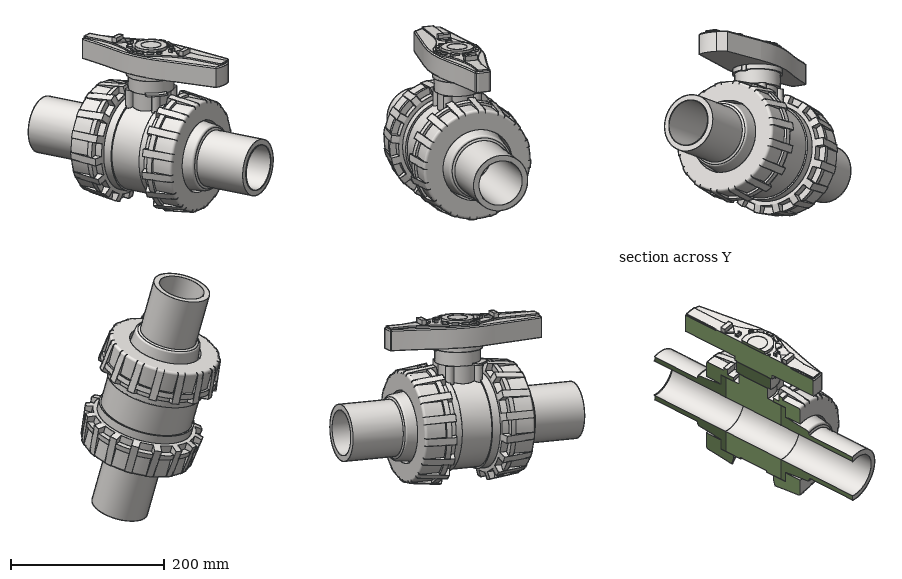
import cadquery as cq
import math

BORE_R = 60.0 / 2

HOUSING_R = 122.8 / 2
COLLAR_R = 127.5 / 2
COLLAR_INNER_X = 21.5
HOUSING_END_X = 46.5
NECK_R = 25.8
NECK_TOP = 80.5
POST_R = 5.5
POST_OFFSET = 20.2

PIPE_R = 75.0 / 2
LEFT_LENGTH = 165.5
RIGHT_LENGTH = 164.5
LIP_R = 60.5 / 2
LIP_LENGTH = 1.0
FLANGE_THICK = 7.5
TAIL_X = 89.7
TAIL_TIP_R = 43.7
TAIL_ROUND = 3.0
TAIL_BEVEL = 1.3

NUT_BORE_R = 96.0 / 2
NUT_OUTER_X = 78.0
NUT_INNER_X = 32.8
NUT_FACE_R = 70.5
NUT_ROUND = 4.0
NUT_ROUND_MID = 1.0
NUT_FLOOR_R = 73.8
BAND_R = (78.0, 77.0)
BAND_X = (42.5, 49.3)
RING_R = 69.2
RIB_COUNT = 16
RIB_WIDTH = 10.0
RIB_LOW_R = 74.8
RIB_HIGH_R = 79.5
RIB_SLANT = 3.0
LEFT_RIB_ANGLE = 17.7
RIGHT_RIB_ANGLE = 14.0

BUSHING_R = 60.0 / 2
BUSHING_TOP = 99.3
STOP_R = 38.0
STOP_SPAN = 45.0
STOP_ROOT = (8.0, -28.0)
STOP_THICK = 2.3

HUB_R = 65.0 / 2
HUB_LUG_REACH = 32.8
HUB_LUG_WIDTH = 7.0
HUB_LUG_DROP = 1.3
GRIP_BOTTOM = 105.5
WING_TOP = 133.5
WING_CHAMFER = 1.5
PANEL_TOP = 135.5
MARK_HEIGHT = 2.3
BRACKET_HEIGHT = 3.5
BLOCK_X = 51.3
BLOCK_SIZE = (6.5, 16.2)
BLOCK_TOP = 142.0
POINTER_BASE_X = 46.7
POINTER_TIP_X = 38.5
BRACKET_POINTS = [
    (34.5, 3.5), (29.5, 3.5), (29.5, -3.5), (34.5, -3.5),
    (34.5, -2.5), (32.0, -2.5), (32.0, 2.5), (34.5, 2.5),
]
ARROW_POINTS = [(-27.8, 16.2), (-22.5, 18.2), (-18.5, 14.2), (-26.0, 6.0), (-26.5, 10.5)]
PAD_SIZE = (4.0, 9.0)
PAD_CIRCLE_R = 26.0
PAD_ANGLES = (60, 90, 120, -60, -90, -120)
BOSS_PLACES = [(22.0, 14.2), (22.0, -14.2)]
BOSS_R = 3.5
BOSS_HOLE_R = 4.5 / 2

CAP_R = 21.2
CAP_TOP = 139.5
CAP_RECESS_R = 26.0 / 2
CAP_RECESS_DEPTH = 0.3


def turned(outline):
    """Closed wire of (x, radius) turned about the pipe axis."""
    return outline.close().revolve(360, (0, 0, 0), (1, 0, 0))


def cylinder(radius, bottom, top):
    return cq.Workplane("XY").workplane(offset=bottom).circle(radius).extrude(top - bottom)


def raised(points, height):
    """Flat mark with a polygon outline, standing on the handle panel."""
    return cq.Workplane("XY").workplane(offset=PANEL_TOP).polyline(points).close().extrude(height)


def make_housing():
    outline = cq.Workplane("XY").polyline([
        (-HOUSING_END_X, 0), (-HOUSING_END_X, COLLAR_R),
        (-COLLAR_INNER_X, COLLAR_R), (-COLLAR_INNER_X, HOUSING_R),
        (COLLAR_INNER_X, HOUSING_R), (COLLAR_INNER_X, COLLAR_R),
        (HOUSING_END_X, COLLAR_R), (HOUSING_END_X, 0),
    ])
    posts = (
        cq.Workplane("XY").rect(2 * POST_OFFSET, 2 * POST_OFFSET, forConstruction=True)
        .vertices().circle(POST_R).extrude(NECK_TOP)
    )
    shell = turned(outline).union(cylinder(NECK_R, 0, NECK_TOP)).union(posts)
    bore = cq.Workplane("YZ").circle(BORE_R).extrude(HOUSING_END_X, both=True)
    return shell.cut(bore)


def make_pipe_end(length):
    """Pipe end on the +X side: flange inside the nut, tapered tail and plain pipe."""
    flange_x = HOUSING_END_X + FLANGE_THICK
    round_x = TAIL_X + TAIL_ROUND
    round_r = TAIL_TIP_R - TAIL_ROUND
    slack = TAIL_ROUND * (1 - math.sqrt(0.5))
    outline = (
        cq.Workplane("XY").moveTo(HOUSING_END_X, BORE_R)
        .lineTo(HOUSING_END_X, COLLAR_R)
        .lineTo(flange_x, COLLAR_R)
        .lineTo(flange_x, NUT_BORE_R)
        .lineTo(TAIL_X, TAIL_TIP_R)
        .threePointArc((round_x - slack, TAIL_TIP_R - slack), (round_x, round_r))
        .lineTo(round_x + TAIL_BEVEL, PIPE_R)
        .lineTo(length, PIPE_R)
        .lineTo(length, BORE_R)
    )
    return turned(outline)


def make_right_end():
    lip = (
        cq.Workplane("YZ").workplane(offset=RIGHT_LENGTH)
        .circle(LIP_R).circle(BORE_R).extrude(LIP_LENGTH)
    )
    return make_pipe_end(RIGHT_LENGTH).union(lip)


def make_left_end():
    return make_pipe_end(LEFT_LENGTH).mirror("YZ")


def make_nut(first_rib_angle):
    """Union nut on the +X side, with ribs leaning outwards to the valve centre."""
    band_start, band_end = BAND_X
    band_start_r, band_end_r = BAND_R
    lip_x = HOUSING_END_X + FLANGE_THICK
    round_x = NUT_OUTER_X - NUT_ROUND
    round_mid_x = NUT_OUTER_X - NUT_ROUND_MID
    floor_mid_r = NUT_FLOOR_R - NUT_ROUND_MID
    rib_mid_r = RIB_LOW_R - NUT_ROUND_MID

    def inner_side(wire):
        return (
            wire.lineTo(NUT_OUTER_X, NUT_BORE_R)
            .lineTo(lip_x, NUT_BORE_R)
            .lineTo(lip_x, COLLAR_R)
        )

    ring = (
        cq.Workplane("XY").moveTo(NUT_INNER_X, COLLAR_R)
        .lineTo(NUT_INNER_X, RING_R)
        .lineTo(band_start, RING_R)
        .lineTo(band_start, band_start_r)
        .lineTo(band_end, band_end_r)
        .lineTo(band_end, NUT_FLOOR_R)
        .lineTo(round_x, NUT_FLOOR_R)
        .threePointArc((round_mid_x, floor_mid_r), (NUT_OUTER_X, NUT_FACE_R))
    )
    rib_ring = (
        cq.Workplane("XY").moveTo(NUT_INNER_X, COLLAR_R)
        .lineTo(NUT_INNER_X, RING_R)
        .lineTo(NUT_INNER_X + RIB_SLANT, RIB_HIGH_R)
        .lineTo(round_x, RIB_LOW_R)
        .threePointArc((round_mid_x, rib_mid_r), (NUT_OUTER_X, NUT_FACE_R))
    )
    slices = cq.Workplane("YZ")
    for i in range(RIB_COUNT):
        turn = 180 - first_rib_angle - 360 * i / RIB_COUNT
        slab = cq.Workplane("XY").box(
            NUT_OUTER_X, RIB_HIGH_R, RIB_WIDTH, centered=(False, False, True)
        )
        slices = slices.add(slab.rotate((0, 0, 0), (1, 0, 0), turn))
    ribs = turned(inner_side(rib_ring)).intersect(slices.combine())
    return turned(inner_side(ring)).union(ribs)


def make_bushing():
    """Round bushing on the neck, with a stop plate sticking out between +X and -Y."""
    def rim_point(angle):
        return (STOP_R * math.cos(math.radians(angle)), STOP_R * math.sin(math.radians(angle)))

    stop = (
        cq.Workplane("XY").workplane(offset=NECK_TOP)
        .lineTo(*STOP_ROOT)
        .lineTo(*rim_point(-45 - STOP_SPAN / 2))
        .threePointArc(rim_point(-45), rim_point(-45 + STOP_SPAN / 2))
        .lineTo(-STOP_ROOT[1], -STOP_ROOT[0])
        .close().extrude(STOP_THICK)
    )
    return cylinder(BUSHING_R, NECK_TOP, BUSHING_TOP).union(stop)


def make_grip():
    """Long hand grip with a chamfered top edge and one cut corner."""
    return (
        cq.Workplane("XY").workplane(offset=GRIP_BOTTOM)
        .moveTo(-100.5, 6.3).lineTo(-100.0, 9.3).lineTo(-98.5, 11.0)
        .threePointArc((-69.5, 17.2), (-39.7, 25.8))
        .threePointArc((0, 33.8), (39.7, 31.8))
        .lineTo(105.3, 21.5)
        .lineTo(113.0, 10.0)
        .threePointArc((115.0, -4.0), (111.5, -18.2))
        .lineTo(39.7, -29.5)
        .threePointArc((0, -33), (-39.7, -25.5))
        .threePointArc((-69.5, -17.2), (-98.5, -10.5))
        .lineTo(-100.0, -9.3).lineTo(-100.5, -6.3).close()
        .extrude(WING_TOP - GRIP_BOTTOM)
        .faces(">Z").chamfer(WING_CHAMFER)
    )


def make_panel():
    """Raised middle panel, narrow along the grip and wide around the stem."""
    return (
        cq.Workplane("XY").workplane(offset=WING_TOP)
        .moveTo(-98.5, 7.0).lineTo(-72.8, 7.0)
        .threePointArc((-41.5, 14.2), (-14.0, 28.0))
        .threePointArc((0, 30.5), (14.0, 28.0))
        .threePointArc((38.0, 15.0), (66.2, 8.0))
        .lineTo(112.2, 8.0).lineTo(112.2, -8.0).lineTo(66.2, -8.0)
        .threePointArc((38.0, -15.0), (14.0, -28.0))
        .threePointArc((0, -30.5), (-14.0, -28.0))
        .threePointArc((-41.5, -14.2), (-72.8, -7.0))
        .lineTo(-98.5, -7.0).close()
        .extrude(PANEL_TOP - WING_TOP)
    )


def make_marks():
    """Blocks, pointers, brackets, pads and arrows standing on the panel."""
    top = cq.Workplane("XY").workplane(offset=PANEL_TOP)
    marks = (
        top.pushPoints([(-BLOCK_X, 0), (BLOCK_X, 0)])
        .rect(*BLOCK_SIZE).extrude(BLOCK_TOP - PANEL_TOP)
    )
    half = BLOCK_SIZE[1] / 2
    for side in (-1, 1):
        pointer = [(side * POINTER_BASE_X, half), (side * POINTER_TIP_X, 0), (side * POINTER_BASE_X, -half)]
        marks = marks.union(raised(pointer, MARK_HEIGHT))
        bracket = [(side * x, y) for x, y in BRACKET_POINTS]
        marks = marks.union(raised(bracket, BRACKET_HEIGHT))
        arrow = [(x, side * y) for x, y in ARROW_POINTS]
        marks = marks.union(raised(arrow, MARK_HEIGHT))
    for angle in PAD_ANGLES:
        pad = top.center(PAD_CIRCLE_R, 0).rect(*PAD_SIZE).extrude(MARK_HEIGHT)
        marks = marks.union(pad.rotate((0, 0, 0), (0, 0, 1), angle))
    return marks


def make_hub():
    """Round hub under the grip, with a lug on each side that overlaps the bushing."""
    lug_bottom = BUSHING_TOP - HUB_LUG_DROP
    lugs = (
        cq.Workplane("XY").workplane(offset=lug_bottom)
        .rect(2 * HUB_LUG_REACH, HUB_LUG_WIDTH).extrude(GRIP_BOTTOM - lug_bottom)
        .cut(cylinder(BUSHING_R, lug_bottom, BUSHING_TOP))
    )
    return cylinder(HUB_R, BUSHING_TOP, GRIP_BOTTOM).union(lugs)


def make_handle():
    top = cq.Workplane("XY").workplane(offset=PANEL_TOP)
    bosses = top.pushPoints(BOSS_PLACES).circle(BOSS_R).extrude(MARK_HEIGHT)
    holes = top.pushPoints(BOSS_PLACES).circle(BOSS_HOLE_R).extrude(MARK_HEIGHT)
    return make_grip().union(make_hub()).union(make_panel()).union(make_marks()).union(bosses).cut(holes)


def make_cap():
    cap = cylinder(CAP_R, PANEL_TOP, CAP_TOP)
    return cap.cut(cylinder(CAP_RECESS_R, CAP_TOP - CAP_RECESS_DEPTH, CAP_TOP))


housing = make_housing()
left_end = make_left_end()
right_end = make_right_end()
left_nut = make_nut(LEFT_RIB_ANGLE).mirror("YZ")
right_nut = make_nut(RIGHT_RIB_ANGLE)
bushing = make_bushing()
handle = make_handle()
cap = make_cap()

result = cq.Compound.makeCompound([
    housing.val(), left_end.val(), right_end.val(), left_nut.val(),
    right_nut.val(), bushing.val(), handle.val(), cap.val(),
])